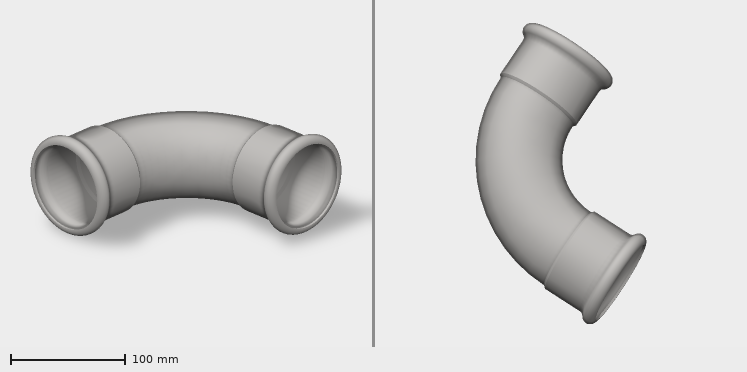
import cadquery as cq
import math

face_to_axis = 150.0
pipe_outer_radius = 76.1 / 2
wall = 2.0
socket_length = 55.0
step_length = 2.5
socket_outer_radius = 40.2
bead_outer_radius = 46.05
bead_tube_radius = 6.1
straight_end = 16.5
mouth_radius = 39.1

bend_radius = face_to_axis - socket_length
pipe_inner_radius = pipe_outer_radius - wall
socket_inner_radius = socket_outer_radius - wall
step_depth = socket_length - step_length
bead_center_radius = bead_outer_radius - bead_tube_radius
bead_bore_radius = bead_tube_radius - wall

bead_to_straight = straight_end - bead_tube_radius
wall_to_bead_center = socket_outer_radius - bead_center_radius
neck_radius = (
    (bead_to_straight**2 + wall_to_bead_center**2 - bead_tube_radius**2)
    / (2 * (bead_tube_radius - wall_to_bead_center))
)
neck_center_radius = socket_outer_radius + neck_radius
neck_angle = math.atan2(neck_center_radius - bead_center_radius, bead_to_straight)


def bead_point(radius, angle):
    """Point (distance from axis, depth from mouth) on a circle about the bead centre."""
    return (
        bead_center_radius + radius * math.sin(angle),
        bead_tube_radius + radius * math.cos(angle),
    )


def neck_mid_point(radius):
    """Middle point of a neck arc of the given radius."""
    middle = (neck_angle + math.pi / 2) / 2
    return (
        neck_center_radius - radius * math.sin(middle),
        straight_end - radius * math.cos(middle),
    )


def lip_angle(radius):
    """Angle at which a bead circle reaches the mouth radius, past the mouth side."""
    return math.pi + math.asin((bead_center_radius - mouth_radius) / radius)


def make_socket():
    """Press socket with its mouth on the XY plane and its axis along +Z."""
    outer_lip = lip_angle(bead_tube_radius)
    inner_lip = lip_angle(bead_bore_radius)
    profile = (
        cq.Workplane("XZ")
        .moveTo(pipe_inner_radius, socket_length)
        .lineTo(pipe_outer_radius, socket_length)
        .lineTo(socket_outer_radius, step_depth)
        .lineTo(socket_outer_radius, straight_end)
        .threePointArc(neck_mid_point(neck_radius), bead_point(bead_tube_radius, neck_angle))
        .threePointArc(
            bead_point(bead_tube_radius, (neck_angle + outer_lip) / 2),
            bead_point(bead_tube_radius, outer_lip),
        )
        .lineTo(*bead_point(bead_bore_radius, inner_lip))
        .threePointArc(
            bead_point(bead_bore_radius, (neck_angle + inner_lip) / 2),
            bead_point(bead_bore_radius, neck_angle),
        )
        .threePointArc(neck_mid_point(neck_radius + wall), (socket_inner_radius, straight_end))
        .lineTo(socket_inner_radius, step_depth)
        .close()
    )
    return profile.revolve(360, (0, 0, 0), (0, 1, 0))


def make_bend():
    """Quarter-turn pipe from the -Y leg (axis on X = 0) to the +X leg (axis on Y = 0)."""
    return (
        cq.Workplane("XZ", origin=(0, -bend_radius, 0))
        .circle(pipe_outer_radius)
        .circle(pipe_inner_radius)
        .revolve(90, (bend_radius, 0, 0), (bend_radius, -1, 0))
    )


socket = make_socket()
socket_y = socket.rotate((0, 0, 0), (1, 0, 0), -90).translate((0, -face_to_axis, 0))
socket_x = socket.rotate((0, 0, 0), (0, 1, 0), -90).translate((face_to_axis, 0, 0))

result = make_bend().union(socket_y).union(socket_x)